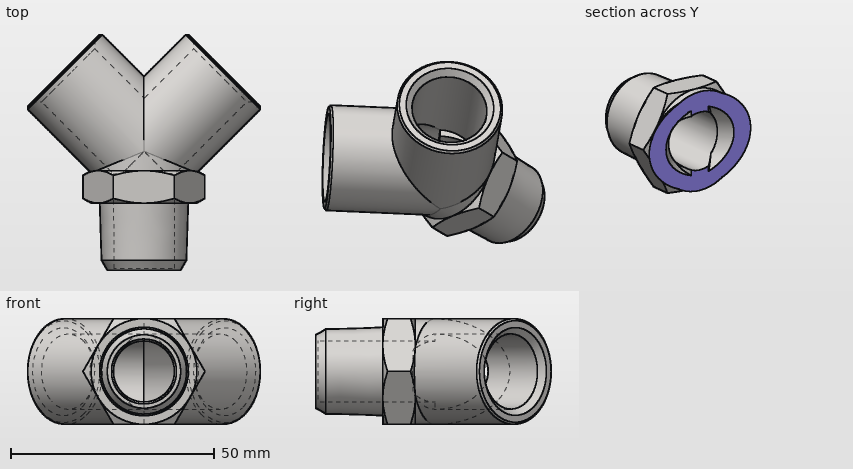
import cadquery as cq
import math


branch_diameter = 26.0
branch_length = 28.0
branch_angle = 45.0
branch_rim_chamfer = 0.5
branch_bore_diameter = 18.5
branch_mouth_diameter = 21.6

stem_tip_y = -29.3
stem_length = 16.5
stem_gauge_diameter = 20.955
stem_taper = 1.0 / 16.0
tip_chamfer_length = 2.5
tip_chamfer_angle = 30.0
stem_bore_diameter = 15.0
stem_bore_chamfer = 0.5

hex_width = branch_diameter
hex_sides = 6
hex_height = 8.0
hex_chamfer_angle = 30.0

branch_radius = branch_diameter / 2
branch_bore_radius = branch_bore_diameter / 2
branch_mouth_radius = branch_mouth_diameter / 2
stem_bore_radius = stem_bore_diameter / 2
hex_bottom_y = stem_tip_y + stem_length
hex_top_y = hex_bottom_y + hex_height
hex_inner_radius = hex_width / 2
hex_corner_radius = hex_inner_radius / math.cos(math.pi / hex_sides)


def revolve_about_y(points):
    """Solid of revolution about Y from (radius, y) points; both ends lie on the axis."""
    return cq.Workplane("XY").polyline(points).close().revolve(360, (0, 0, 0), (0, 1, 0))


def place_branch(shape, side):
    """Turn a shape built along +Y onto the +X (side = 1) or -X (side = -1) branch."""
    return shape.rotate((0, 0, 0), (0, 0, 1), -side * (90 - branch_angle))


def make_branch():
    return revolve_about_y([
        (0, 0),
        (branch_radius, 0),
        (branch_radius, branch_length - branch_rim_chamfer),
        (branch_radius - branch_rim_chamfer, branch_length),
        (0, branch_length),
    ])


def make_branch_bore():
    countersink_depth = branch_mouth_radius - branch_bore_radius
    return revolve_about_y([
        (0, 0),
        (branch_bore_radius, 0),
        (branch_bore_radius, branch_length - countersink_depth),
        (branch_mouth_radius, branch_length),
        (0, branch_length),
    ])


def make_neck():
    """Round neck between the hexagon and the meeting point of the axes."""
    return revolve_about_y([
        (0, hex_top_y),
        (branch_radius, hex_top_y),
        (branch_radius, 0),
        (0, 0),
    ])


def make_hexagon():
    """Hexagon with flats facing +Z and -Z, its corners turned off at both ends."""
    prism = (
        cq.Workplane("XZ", origin=(0, hex_top_y, 0))
        .polygon(hex_sides, 2 * hex_corner_radius)
        .extrude(hex_height)
    )
    corner_drop = (hex_corner_radius - hex_inner_radius) * math.tan(math.radians(hex_chamfer_angle))
    envelope = revolve_about_y([
        (0, hex_bottom_y),
        (hex_inner_radius, hex_bottom_y),
        (hex_corner_radius, hex_bottom_y + corner_drop),
        (hex_corner_radius, hex_top_y - corner_drop),
        (hex_inner_radius, hex_top_y),
        (0, hex_top_y),
    ])
    return prism.intersect(envelope)


def make_stem():
    gauge_radius = stem_gauge_diameter / 2
    tip_radius = gauge_radius - tip_chamfer_length * math.tan(math.radians(tip_chamfer_angle))
    root_radius = gauge_radius + (stem_length - tip_chamfer_length) * stem_taper / 2
    return revolve_about_y([
        (0, stem_tip_y),
        (tip_radius, stem_tip_y),
        (gauge_radius, stem_tip_y + tip_chamfer_length),
        (root_radius, hex_bottom_y),
        (0, hex_bottom_y),
    ])


def make_stem_bore():
    return revolve_about_y([
        (0, stem_tip_y),
        (stem_bore_radius + stem_bore_chamfer, stem_tip_y),
        (stem_bore_radius, stem_tip_y + stem_bore_chamfer),
        (stem_bore_radius, 0),
        (0, 0),
    ])


body = make_neck().union(make_hexagon()).union(make_stem())
for side in (-1, 1):
    body = body.union(place_branch(make_branch(), side))

body = body.cut(make_stem_bore())
for side in (-1, 1):
    body = body.cut(place_branch(make_branch_bore(), side))

result = cq.Workplane("XY").newObject([body.val()])